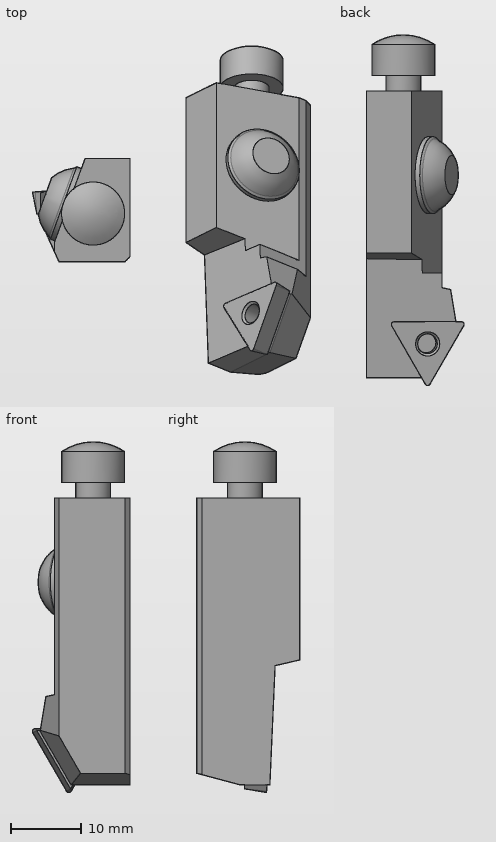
import cadquery as cq
import math


DEPTH = 14.75
SHANK_TOP = 42.0
SHANK_BOTTOM = 1.09
SHANK_WIDTH = 10.8
FRONT_WIDTH = 10.15
FACET_TOP_Y = 1.45
FACET_SLOPE = (SHANK_WIDTH - FRONT_WIDTH) / FACET_TOP_Y
EDGE_CHAMFER = 0.75
SLANT_ANGLE = 20.0
SLANT_START_Y = 2.76
SLANT_LEDGE_Z = 16.08
SLANT_BACK_X = -SHANK_WIDTH + (DEPTH - SLANT_START_Y) * math.tan(math.radians(SLANT_ANGLE))
BOTTOM_BEVEL_ANGLE = 15.0
BOTTOM_BEVEL_Y = 6.2

HEAD_LEDGE_Z = 13.97
HEAD_TOP_Z = 13.7
HEAD_TOP_WIDTH = 12.03
HEAD_FLANK_ANGLE = 9.3
HEAD_BOTTOM_WIDTH = HEAD_TOP_WIDTH + (HEAD_TOP_Z - SHANK_BOTTOM) * math.tan(math.radians(HEAD_FLANK_ANGLE))

EDGE_ANGLE = 60.0
EDGE_RUN = math.cos(math.radians(EDGE_ANGLE))
EDGE_DROP = math.sin(math.radians(EDGE_ANGLE))
RAKE_ANGLE = 5.0
RAKE_SLOPE = math.tan(math.radians(RAKE_ANGLE))
CUTTING_EDGE_Y = 9.95

INSERT_SIDE = 11.0
INSERT_THICKNESS = 3.18
INSERT_NOSE_RADIUS = 0.4
INSERT_RELIEF_ANGLE = 7.0
INSERT_HOLE_DIAMETER = 2.8
INSERT_MOUTH_DIAMETER = 3.45
MOUTH_CHAMFER_ANGLE = 45.0
NOSE_DIRECTIONS = (30, 150, 270)
INSCRIBED_RADIUS = INSERT_SIDE / (2 * math.sqrt(3))
INSERT_LEFT_X = -13.94
CORNER_X = INSERT_LEFT_X - INSERT_NOSE_RADIUS * (2 * EDGE_DROP - 1)
CORNER_Z = INSERT_SIDE * EDGE_DROP - INSERT_NOSE_RADIUS
CUTTING_EDGE_OFFSET = CORNER_X * EDGE_DROP + CORNER_Z * EDGE_RUN

FLANK_FRONT_OFFSET = -4.75
FLANK_LAND_OFFSET = -6.75
FLANK_LAND_Y = 6.23
RAKE_SETBACK = 0.2
GULLET_TOP_Z = 18.9
GULLET_SHOULDER_ANGLE = 13.0
GULLET_SHOULDER_SLOPE = math.tan(math.radians(GULLET_SHOULDER_ANGLE))

SCREW_X = -5.28
SCREW_Y = 6.9
NECK_DIAMETER = 5.0
NECK_HEIGHT = 2.2
HEAD_DIAMETER = 9.0
HEAD_HEIGHT = 4.4
TOTAL_HEIGHT = 50.0

BUTTON_Y = 8.17
BUTTON_Z = 30.0
BUTTON_DIAMETER = 11.0
BUTTON_RIM_HEIGHT = 0.7
DOME_DIAMETER = 10.38
DOME_START = BUTTON_RIM_HEIGHT + (BUTTON_DIAMETER - DOME_DIAMETER) / 2
DOME_SPHERE_RADIUS = 5.5
BUTTON_HEIGHT = 3.54
BUTTON_FLAT_DIAMETER = 5.6

BEYOND = 40.0


def shank():
    outline = [
        (0, DEPTH),
        (-SHANK_WIDTH, DEPTH),
        (-SHANK_WIDTH, FACET_TOP_Y),
        (-FRONT_WIDTH, 0),
        (-EDGE_CHAMFER, 0),
        (0, EDGE_CHAMFER),
    ]
    height = SHANK_TOP - SHANK_BOTTOM
    body = cq.Workplane("XY").workplane(offset=SHANK_BOTTOM).polyline(outline).close().extrude(height)
    slant = [
        (-SHANK_WIDTH, SLANT_START_Y),
        (SLANT_BACK_X, DEPTH),
        (-SHANK_WIDTH, DEPTH),
    ]
    wedge = cq.Workplane("XY").workplane(offset=SLANT_LEDGE_Z).polyline(slant).close().extrude(BEYOND)
    return body.cut(wedge)


def head():
    side = [
        (-FRONT_WIDTH, SHANK_BOTTOM),
        (-FRONT_WIDTH, HEAD_LEDGE_Z),
        (-SHANK_WIDTH, HEAD_LEDGE_Z),
        (-HEAD_TOP_WIDTH, HEAD_TOP_Z),
        (-HEAD_BOTTOM_WIDTH, SHANK_BOTTOM),
    ]
    block = cq.Workplane("XZ").polyline(side).close().extrude(-DEPTH)
    facet_end_y = (HEAD_BOTTOM_WIDTH - FRONT_WIDTH) / FACET_SLOPE
    plan = [
        (-FRONT_WIDTH, 0),
        (-HEAD_BOTTOM_WIDTH, facet_end_y),
        (-HEAD_BOTTOM_WIDTH, DEPTH),
        (-FRONT_WIDTH, DEPTH),
    ]
    return block.intersect(cq.Workplane("XY").polyline(plan).close().extrude(BEYOND))


def edge_prism(points):
    """Prism along the cutting edge; points are (inward, Y)."""
    plane = cq.Plane(
        origin=(0, 0, 0),
        xDir=(EDGE_DROP, 0, EDGE_RUN),
        normal=(-EDGE_RUN, 0, EDGE_DROP),
    )
    return cq.Workplane(plane).polyline(points).close().extrude(BEYOND, both=True)


def flank_cut():
    return edge_prism([
        (-BEYOND, 0),
        (FLANK_FRONT_OFFSET, 0),
        (FLANK_LAND_OFFSET, FLANK_LAND_Y),
        (FLANK_LAND_OFFSET, DEPTH),
        (-BEYOND, DEPTH),
    ])


def bottom_bevel_cut():
    rise = BOTTOM_BEVEL_Y * math.tan(math.radians(BOTTOM_BEVEL_ANGLE))
    triangle = [
        (0, SHANK_BOTTOM),
        (BOTTOM_BEVEL_Y, SHANK_BOTTOM),
        (0, SHANK_BOTTOM + rise),
    ]
    return cq.Workplane("YZ").polyline(triangle).close().extrude(-BEYOND)


def gullet_cut():
    def floor_y(inward):
        return CUTTING_EDGE_Y - RAKE_SETBACK + RAKE_SLOPE * (inward - CUTTING_EDGE_OFFSET)

    above_floor = edge_prism([
        (-BEYOND, floor_y(-BEYOND)),
        (BEYOND, floor_y(BEYOND)),
        (BEYOND, BEYOND),
        (-BEYOND, BEYOND),
    ])
    below_shoulder = [
        (0, 0),
        (DEPTH, 0),
        (DEPTH, GULLET_TOP_Z),
        (0, GULLET_TOP_Z - DEPTH * GULLET_SHOULDER_SLOPE),
    ]
    reach = cq.Workplane("YZ").polyline(below_shoulder).close().extrude(-BEYOND)
    return above_floor.intersect(reach)


def set_screw():
    head_bottom = SHANK_TOP + NECK_HEIGHT
    dome_base = head_bottom + HEAD_HEIGHT
    dome_height = TOTAL_HEIGHT - dome_base
    radius = HEAD_DIAMETER / 2
    dome_radius = (radius**2 + dome_height**2) / (2 * dome_height)
    half_turn = math.asin(radius / dome_radius) / 2
    dome_mid = (
        dome_radius * math.sin(half_turn),
        TOTAL_HEIGHT - dome_radius * (1 - math.cos(half_turn)),
    )
    profile = (
        cq.Workplane("XZ")
        .moveTo(0, SHANK_TOP)
        .lineTo(NECK_DIAMETER / 2, SHANK_TOP)
        .lineTo(NECK_DIAMETER / 2, head_bottom)
        .lineTo(radius, head_bottom)
        .lineTo(radius, dome_base)
        .threePointArc(dome_mid, (0, TOTAL_HEIGHT))
        .close()
    )
    return profile.revolve(360, (0, 0), (0, 1)).translate((SCREW_X, SCREW_Y, 0))


def clamp_button():
    """Revolved about local y, which points straight out of the slanted face."""
    angle = math.radians(SLANT_ANGLE)
    base_x = -SHANK_WIDTH + (BUTTON_Y - SLANT_START_Y) * math.tan(angle)
    plane = cq.Plane(
        origin=(base_x, BUTTON_Y, BUTTON_Z),
        xDir=(0, 0, 1),
        normal=(-math.sin(angle), -math.cos(angle), 0),
    )
    radius = BUTTON_DIAMETER / 2
    profile = (
        cq.Workplane(plane)
        .lineTo(radius, 0)
        .lineTo(radius, BUTTON_RIM_HEIGHT)
        .lineTo(DOME_DIAMETER / 2, DOME_START)
        .radiusArc((BUTTON_FLAT_DIAMETER / 2, BUTTON_HEIGHT), -DOME_SPHERE_RADIUS)
        .lineTo(0, BUTTON_HEIGHT)
        .close()
    )
    return profile.revolve(360, (0, 0), (0, 1))


def insert_plane():
    """Rake plane, centred on the insert, with local y toward the cutting edge."""
    rake_plane = cq.Plane(
        origin=(CORNER_X, CUTTING_EDGE_Y, CORNER_Z),
        xDir=(EDGE_RUN, 0, -EDGE_DROP),
        normal=(-EDGE_DROP * RAKE_SLOPE, 1, -EDGE_RUN * RAKE_SLOPE),
    )
    return cq.Workplane(rake_plane).center(INSERT_SIDE / 2, -INSCRIBED_RADIUS)


def insert_blank():
    """Triangular plate with rounded noses, narrowing away from the rake face."""
    nose_centre_distance = 2 * (INSCRIBED_RADIUS - INSERT_NOSE_RADIUS)
    nose_centres = [
        (
            nose_centre_distance * math.cos(math.radians(angle)),
            nose_centre_distance * math.sin(math.radians(angle)),
        )
        for angle in NOSE_DIRECTIONS
    ]
    return (
        insert_plane()
        .polyline(nose_centres)
        .close()
        .offset2D(INSERT_NOSE_RADIUS)
        .extrude(-INSERT_THICKNESS, taper=INSERT_RELIEF_ANGLE)
    )


def insert_hole():
    """Screw hole, widened by a chamfer to its mouth at the rake face."""
    mouth_width = (INSERT_MOUTH_DIAMETER - INSERT_HOLE_DIAMETER) / 2
    mouth_depth = mouth_width / math.tan(math.radians(MOUTH_CHAMFER_ANGLE))
    bore = insert_plane().circle(INSERT_HOLE_DIAMETER / 2).extrude(-INSERT_THICKNESS)
    mouth = insert_plane().circle(INSERT_MOUTH_DIAMETER / 2).extrude(-mouth_depth, taper=MOUTH_CHAMFER_ANGLE)
    return bore.union(mouth)


blank = insert_blank()
cutting_insert = blank.cut(insert_hole())

holder = (
    shank()
    .union(head())
    .cut(flank_cut())
    .cut(bottom_bevel_cut())
    .cut(gullet_cut())
    .cut(blank)
    .union(set_screw())
    .union(clamp_button())
)

result = cq.Compound.makeCompound([*holder.vals(), *cutting_insert.vals()])